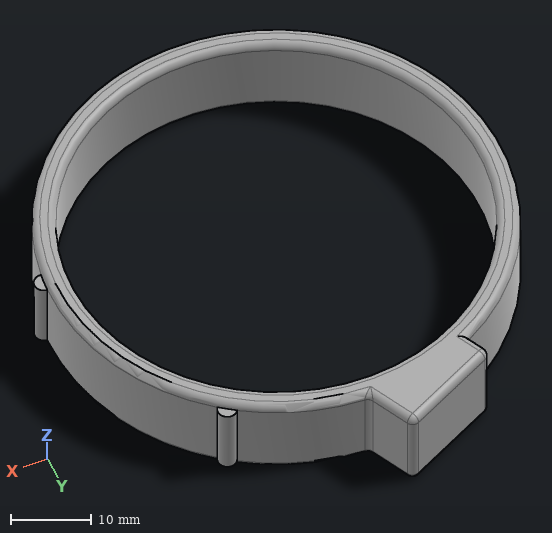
import cadquery as cq
import math

bore_radius = 27.5
wall = 3.0
outer_radius = bore_radius + wall
height = 12.0
edge_radius = 1.0

block_left = -0.6
block_width = 15.0
block_reach = 34.05
block_turn = 27

rib_angles = (55, -5)
rib_radius = 1.3
rib_height = height - 2 * edge_radius


def make_disc():
    """Solid disc of the ring, with rounded rims."""
    return cq.Workplane("XY").circle(outer_radius).extrude(height).edges().fillet(edge_radius)


def make_block():
    """Block with a rounded outer end; its square inner end lies inside the disc."""
    block = (
        cq.Workplane("XY")
        .center(block_left, 0)
        .rect(block_width, block_reach, centered=False)
        .extrude(height)
    )
    block = block.edges("|Z and >Y").fillet(edge_radius)
    block = block.faces("|Z").edges("not <Y").fillet(edge_radius)
    return block.rotate((0, 0, 0), (0, 0, 1), block_turn)


def round_block_corner(body):
    """Round the obtuse inside corner where the right side of the block meets the ring."""
    block_right = block_left + block_width
    corner_radius = outer_radius - edge_radius / 2
    corner_angle = math.radians(block_turn) + math.acos(block_right / corner_radius)
    corner_x = corner_radius * math.cos(corner_angle)
    corner_y = corner_radius * math.sin(corner_angle)
    reach = 2 * edge_radius
    corner_edges = cq.selectors.BoxSelector(
        (corner_x - reach, corner_y - reach, -reach),
        (corner_x + reach, corner_y + reach, height + reach),
    )
    return body.edges(corner_edges).fillet(edge_radius)


def cut_bore(body):
    """Cut the bore through the body and round both of its mouths."""
    bore = cq.Workplane("XY").circle(bore_radius).extrude(height)
    bored = body.cut(bore)
    mouths = cq.selectors.RadiusNthSelector(0)
    return bored.faces("<Z or >Z").edges(mouths).fillet(edge_radius)


def make_rib(angle):
    """Upright rib centred on the outer surface of the ring."""
    x = outer_radius * math.cos(math.radians(angle))
    y = outer_radius * math.sin(math.radians(angle))
    return cq.Workplane("XY", origin=(x, y, edge_radius)).circle(rib_radius).extrude(rib_height)


def make_ring():
    """Ring with its block and ribs, as one solid."""
    body = make_disc().union(make_block())
    body = round_block_corner(body)
    body = cut_bore(body)
    for angle in rib_angles:
        body = body.union(make_rib(angle))
    return body


ring = make_ring().solids()

result = cq.Compound.makeCompound([ring.val()])